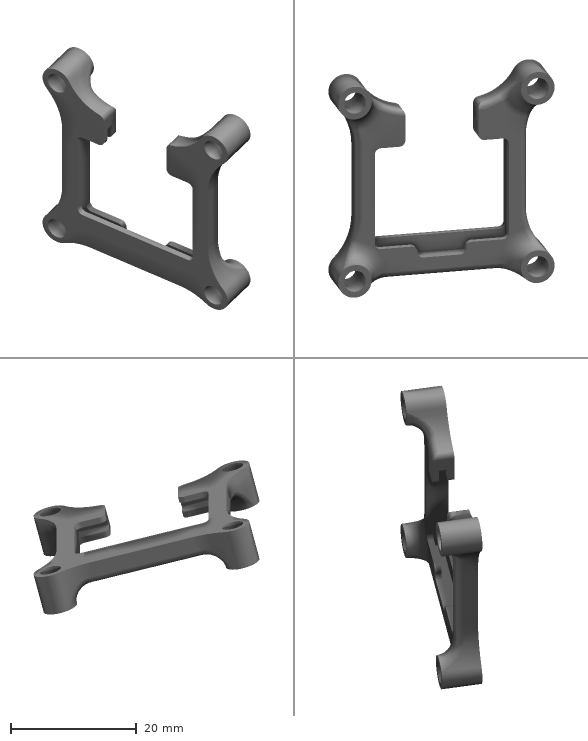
import cadquery as cq
import math

overall_size = 35.5
boss_height = 6.5
boss_diameter = 5.5
boss_radius = boss_diameter / 2
hole_diameter = 3.5
boss_offset = overall_size / 2 - boss_radius

plate_thickness = 3.5
side_half_width = 14.0
bottom_edge_z = -16.0
edge_blend_radius = 10.0
arm_blend_radius = 8.35
arm_blend_center_x = 5.32
corner_radius = 1.0
back_edge_radius = 1.03
flare_radius = boss_height - plate_thickness

window_half_width = 11.0
window_bottom = -9.98
window_top = 6.0
mouth_half_width = 6.0

lip_thickness = 1.0
groove_width = 1.5
groove_depth = 2.98
gap_half_width = 4.0
groove_bottom = window_bottom - groove_depth
tab_height = 2 * corner_radius
tab_top = groove_bottom + tab_height
groove_top = window_top + groove_depth

blend_reach = boss_radius + edge_blend_radius
arm_reach = boss_radius + arm_blend_radius
side_center_x = side_half_width + edge_blend_radius
side_center_z = boss_offset - math.sqrt(blend_reach**2 - (side_center_x - boss_offset) ** 2)
bottom_center_z = bottom_edge_z - edge_blend_radius
bottom_center_x = boss_offset - math.sqrt(blend_reach**2 - (bottom_center_z + boss_offset) ** 2)
arm_center_z = boss_offset + math.sqrt(arm_reach**2 - (boss_offset - arm_blend_center_x) ** 2)


def point_toward(center, target, distance):
    """Point at a distance from center along the line to target."""
    length = math.dist(center, target)
    return tuple(c + (t - c) * distance / length for c, t in zip(center, target))


def arc_middle(center, start, end):
    """Middle of the short arc from start to end."""
    chord_middle = ((start[0] + end[0]) / 2, (start[1] + end[1]) / 2)
    return point_toward(center, chord_middle, math.dist(center, start))


def prism(sketch, y_start, y_end):
    """Extrude an XZ outline from y_start to y_end."""
    return sketch(cq.Workplane("XZ", origin=(0, y_start, 0))).extrude(y_start - y_end)


def box(x_start, x_end, y_start, y_end, z_start, z_end):
    size = (x_end - x_start, y_end - y_start, z_end - z_start)
    return cq.Workplane("XY").box(*size, centered=False).translate((x_start, y_start, z_start))


def frame_outline(plane):
    """Closed outer outline without the window."""
    upper_boss = (boss_offset, boss_offset)
    lower_boss = (boss_offset, -boss_offset)
    side_upper = (side_center_x, side_center_z)
    side_lower = (side_center_x, -side_center_z)
    bottom = (bottom_center_x, bottom_center_z)
    arm = (arm_blend_center_x, arm_center_z)
    arcs = []

    def add_blend(center, start, end):
        arcs.append((start, arc_middle(center, start, end), end))

    def add_boss(center, start, end):
        outward = (2 * center[0], 2 * center[1])
        arcs.append((start, point_toward(center, outward, boss_radius), end))

    arm_start = (arm_blend_center_x, arm_center_z - arm_blend_radius)
    arm_touch = point_toward(upper_boss, arm, boss_radius)
    upper_touch = point_toward(upper_boss, side_upper, boss_radius)
    lower_touch = point_toward(lower_boss, side_lower, boss_radius)
    bottom_touch = point_toward(lower_boss, bottom, boss_radius)
    add_blend(arm, arm_start, arm_touch)
    add_boss(upper_boss, arm_touch, upper_touch)
    add_blend(side_upper, upper_touch, (side_half_width, side_center_z))
    add_blend(side_lower, (side_half_width, -side_center_z), lower_touch)
    add_boss(lower_boss, lower_touch, bottom_touch)
    add_blend(bottom, bottom_touch, (bottom_center_x, bottom_edge_z))

    mirrored = [tuple((-x, z) for x, z in reversed(arc)) for arc in reversed(arcs)]
    path = plane.moveTo(*arm_start)
    previous = arm_start
    for start, middle, end in arcs + mirrored:
        if math.dist(previous, start) > 0:
            path = path.lineTo(*start)
        path = path.threePointArc(middle, end)
        previous = end
    return path.close()


def flared_boss(x, z):
    """Boss whose foot sweeps out to the plate's back face."""
    foot_radius = boss_radius + flare_radius
    sweep = flare_radius * (1 - math.sqrt(0.5))
    profile = (
        cq.Workplane("XY")
        .lineTo(foot_radius, 0)
        .lineTo(foot_radius, plate_thickness)
        .threePointArc(
            (boss_radius + sweep, plate_thickness + sweep), (boss_radius, boss_height)
        )
        .lineTo(0, boss_height)
        .close()
    )
    return profile.revolve(360, (0, 0), (0, 1)).translate((x, 0, z))


boss_centers = [(sx * boss_offset, sz * boss_offset) for sx in (-1, 1) for sz in (-1, 1)]
plate = box(-overall_size / 2, overall_size / 2, 0, plate_thickness, -overall_size / 2, overall_size / 2)
for boss_x, boss_z in boss_centers:
    plate = plate.union(flared_boss(boss_x, boss_z))
body = prism(frame_outline, 0, boss_height).intersect(plate)

back_lines = body.faces(cq.selectors.NearestToPointSelector((0, plate_thickness, 0))).edges("%LINE")
body = back_lines.fillet(back_edge_radius)


def window_outline(plane):
    """Window that opens upward between the rounded arm tips."""
    above = overall_size
    arm_center = (arm_blend_center_x, arm_center_z)
    tip_x = mouth_half_width + corner_radius
    tip_rise = math.sqrt((arm_blend_radius + corner_radius) ** 2 - (tip_x - arm_blend_center_x) ** 2)
    tip_center = (tip_x, arm_center_z - tip_rise)
    tip_start = (mouth_half_width, tip_center[1])
    tip_end = point_toward(tip_center, arm_center, corner_radius)
    tip_middle = arc_middle(tip_center, tip_start, tip_end)
    return (
        plane.moveTo(-window_half_width, window_bottom)
        .lineTo(window_half_width, window_bottom)
        .lineTo(window_half_width, window_top)
        .lineTo(mouth_half_width, window_top)
        .lineTo(*tip_start)
        .threePointArc(tip_middle, tip_end)
        .lineTo(tip_end[0], above)
        .lineTo(-tip_end[0], above)
        .lineTo(-tip_end[0], tip_end[1])
        .threePointArc((-tip_middle[0], tip_middle[1]), (-mouth_half_width, tip_start[1]))
        .lineTo(-mouth_half_width, window_top)
        .lineTo(-window_half_width, window_top)
        .close()
    )


def tab_gap_outline(plane):
    """Gap with rounded floor corners and rounded tab tips."""
    r = corner_radius
    inner = gap_half_width - r
    outer = gap_half_width + r
    arc_join = groove_bottom + r
    offset = r * math.sqrt(0.5)
    return (
        plane.moveTo(-inner, groove_bottom)
        .lineTo(inner, groove_bottom)
        .threePointArc((inner + offset, arc_join - offset), (gap_half_width, arc_join))
        .threePointArc((outer - offset, arc_join + offset), (outer, tab_top))
        .lineTo(-outer, tab_top)
        .threePointArc((offset - outer, arc_join + offset), (-gap_half_width, arc_join))
        .threePointArc((-inner - offset, arc_join - offset), (-inner, groove_bottom))
        .close()
    )


window = prism(window_outline, 0, boss_height)
corner_limit = window_top + corner_radius
window_corners = window.edges("|Y").filter(lambda edge: edge.Center().z < corner_limit)
window = window_corners.fillet(corner_radius)
body = body.cut(window)

groove_back = lip_thickness + groove_width
body = body.cut(
    box(-window_half_width, window_half_width, lip_thickness, groove_back, groove_bottom, groove_top)
)
relief_top = window_bottom + corner_radius
tab_relief = box(-window_half_width, window_half_width, groove_back, boss_height, tab_top, relief_top)
body = body.cut(tab_relief.edges("|Y and <Z").fillet(corner_radius))
body = body.cut(prism(tab_gap_outline, groove_back, boss_height))

holes = (
    cq.Workplane("XZ")
    .pushPoints(boss_centers)
    .circle(hole_diameter / 2)
    .extrude(-boss_height)
)
result = body.cut(holes)